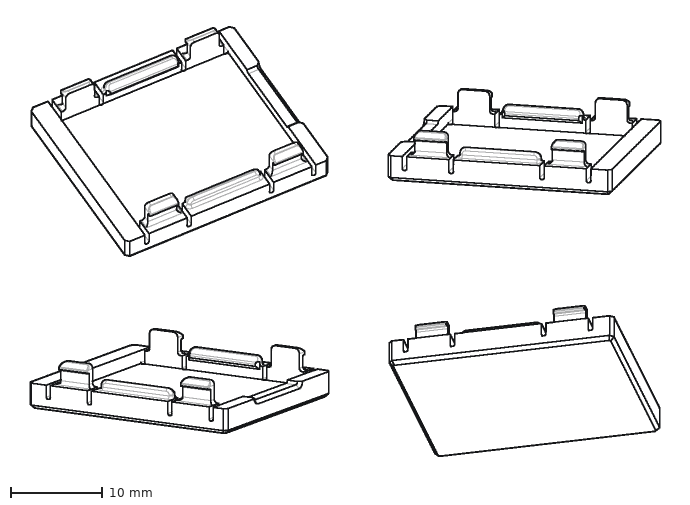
import cadquery as cq

WIDTH = 22.18
LENGTH = 25.32
BASE_HEIGHT = 2.85
TOTAL_HEIGHT = 5.4
EDGE_CHAMFER = 0.4

POCKET_WIDTH = 18.03
POCKET_LENGTH = 21.32
POCKET_CENTER_Y = 0.3
FLOOR_HEIGHT = 1.4
WALL_X = POCKET_WIDTH / 2

DIRECTION_TOLERANCE = 0.001

SLOT_WIDTH = 0.5
SLOT_FLOOR_HEIGHT = 1.3
OUTER_SLOT_OFFSET = (POCKET_LENGTH - SLOT_WIDTH) / 2
INNER_SLOT_OFFSET = 5.15
SLOT_OFFSETS = (-OUTER_SLOT_OFFSET, -INNER_SLOT_OFFSET, INNER_SLOT_OFFSET, OUTER_SLOT_OFFSET)

NOTCH_WIDTH = 9.37
NOTCH_DEPTH = 0.3
NOTCH_CHAMFER = 0.4

HOOK_OFFSET = (OUTER_SLOT_OFFSET + INNER_SLOT_OFFSET) / 2
HOOK_LENGTH = 3.6
STEM_THICKNESS = 0.75
STEM_COVE = 0.4
HOOK_TOP_WIDTH = 0.48
HOOK_TIP_WIDTH = 1.3
HOOK_TIP_HEIGHT = 4.85
HOOK_UNDERSIDE_HEIGHT = 4.53
UNDERSIDE_COVE = 0.18
HOOK_END_RADIUS = 0.5
HOOK_EDGE_RADIUS = 0.13

RAIL_LENGTH = 9.06
RAIL_OUTER_X = 9.8
RAIL_NOSE_X = 8.65
RAIL_NOSE_HEIGHT = 3.25
RAIL_TOP = 3.95
RAIL_END_RADIUS = 0.65
RAIL_EDGE_RADIUS = 0.3
RAIL_COVE = 0.3


def box_between(x_range, y_range, z_range):
    """Axis-aligned box spanning the given ranges."""
    (x0, x1), (y0, y1), (z0, z1) = x_range, y_range, z_range
    return cq.Workplane("XY").box(x1 - x0, y1 - y0, z1 - z0, centered=False).translate((x0, y0, z0))


def make_tray():
    """Open tray with chamfered corners and bottom edge."""
    body = cq.Workplane("XY").box(WIDTH, LENGTH, BASE_HEIGHT, centered=(True, True, False))
    body = body.edges("|Z").chamfer(EDGE_CHAMFER)
    body = body.faces("<Z").edges().chamfer(EDGE_CHAMFER)
    pocket = (
        cq.Workplane("XY", origin=(0, POCKET_CENTER_Y, FLOOR_HEIGHT))
        .rect(POCKET_WIDTH, POCKET_LENGTH)
        .extrude(BASE_HEIGHT)
    )
    return body.cut(pocket)


def make_notch():
    """Cutter for the rear wall notch: rounded lower corners and a flared outer mouth."""
    pocket_end = POCKET_CENTER_Y + POCKET_LENGTH / 2
    half = NOTCH_WIDTH / 2

    def profile(y, growth):
        radius = NOTCH_DEPTH + growth
        flat = half - NOTCH_DEPTH
        return (
            cq.Workplane("XZ", origin=(0, y, BASE_HEIGHT))
            .moveTo(-flat - radius, 0)
            .radiusArc((-flat, -radius), -radius)
            .lineTo(flat, -radius)
            .radiusArc((flat + radius, 0), -radius)
            .close()
        )

    straight = profile(LENGTH / 2, 0).extrude(LENGTH / 2 - pocket_end)
    mouth_start = LENGTH / 2 - NOTCH_CHAMFER
    small = profile(mouth_start, 0).wires().val()
    large = profile(LENGTH / 2, NOTCH_CHAMFER).wires().val()
    mouth = cq.Workplane(obj=cq.Solid.makeLoft([small, large], True))
    return straight.union(mouth)


def make_slot():
    """Cutter for one round-bottomed slot through the +X wall at Y = 0."""
    radius = SLOT_WIDTH / 2
    return (
        cq.Workplane("YZ", origin=(WALL_X, 0, SLOT_FLOOR_HEIGHT))
        .moveTo(-radius, BASE_HEIGHT)
        .lineTo(-radius, radius)
        .threePointArc((0, 0), (radius, radius))
        .lineTo(radius, BASE_HEIGHT)
        .close()
        .extrude(WIDTH)
    )


def make_hook():
    """Snap hook at Y = 0 on the +X wall, flush with the pocket face and leaning outwards."""
    stem_x = WALL_X + STEM_THICKNESS
    tip_x = WALL_X + HOOK_TIP_WIDTH
    hook = (
        cq.Workplane("XZ", origin=(0, HOOK_LENGTH / 2, 0))
        .moveTo(WALL_X, BASE_HEIGHT)
        .lineTo(stem_x, BASE_HEIGHT)
        .lineTo(stem_x, HOOK_UNDERSIDE_HEIGHT)
        .lineTo(tip_x, HOOK_UNDERSIDE_HEIGHT)
        .lineTo(tip_x, HOOK_TIP_HEIGHT)
        .lineTo(WALL_X + HOOK_TOP_WIDTH, TOTAL_HEIGHT)
        .lineTo(WALL_X, TOTAL_HEIGHT)
        .close()
        .extrude(HOOK_LENGTH)
    )
    under_head = cq.selectors.NearestToPointSelector((stem_x, 0, HOOK_UNDERSIDE_HEIGHT))
    hook = hook.edges("|Y").edges(under_head).fillet(UNDERSIDE_COVE)
    rounded_outline = (
        box_between(
            (WALL_X, tip_x), (-HOOK_LENGTH / 2, HOOK_LENGTH / 2), (BASE_HEIGHT, TOTAL_HEIGHT)
        )
        .edges("|X and >Z")
        .fillet(HOOK_END_RADIUS)
    )
    hook = hook.intersect(rounded_outline)
    slope_normal = cq.Vector(TOTAL_HEIGHT - HOOK_TIP_HEIGHT, 0, HOOK_TIP_WIDTH - HOOK_TOP_WIDTH)
    slope_face = hook.faces(cq.selectors.ParallelDirSelector(slope_normal, DIRECTION_TOLERANCE))
    return hook.faces(">X").add(slope_face).edges().fillet(HOOK_EDGE_RADIUS)


def make_foot(thickness, length, corner_radius, cove_radius):
    """Concave foot around the three outer sides of a post at Y = 0 on the +X wall."""
    ground = box_between((0, WIDTH), (-LENGTH / 2, LENGTH / 2), (0, BASE_HEIGHT))
    post = box_between(
        (0, WALL_X + thickness), (-length / 2, length / 2), (BASE_HEIGHT, TOTAL_HEIGHT)
    )
    if corner_radius > 0:
        post = post.edges("|Z and >X").fillet(corner_radius)
    inner_limit = WALL_X / 4
    root_edges = cq.selectors.BoxSelector(
        (inner_limit, -length, BASE_HEIGHT - cove_radius / 2),
        (WIDTH / 2, length, BASE_HEIGHT + cove_radius / 2),
    )
    filleted = ground.union(post).edges(root_edges).fillet(cove_radius)
    reach = length / 2 + cove_radius
    outer_x = WALL_X + thickness + cove_radius
    kept = box_between(
        (WALL_X, outer_x), (-reach, reach), (BASE_HEIGHT, BASE_HEIGHT + cove_radius)
    )
    return filleted.intersect(kept)


def make_rail():
    """Locating rail at Y = 0 on the +X wall, with a sloped nose overhanging the pocket."""
    half = RAIL_LENGTH / 2
    overhang = WALL_X - RAIL_NOSE_X
    bottom = BASE_HEIGHT - overhang
    crest_x = RAIL_NOSE_X + RAIL_TOP - RAIL_NOSE_HEIGHT
    envelope = box_between((RAIL_NOSE_X, RAIL_OUTER_X), (-half, half), (bottom, RAIL_TOP))
    rail = envelope.edges("|X and >Z").fillet(RAIL_END_RADIUS)
    rail = rail.faces(">X").edges("not <Z").fillet(RAIL_EDGE_RADIUS)
    profile = (
        cq.Workplane("XZ", origin=(0, half, 0))
        .moveTo(RAIL_NOSE_X, BASE_HEIGHT)
        .lineTo(WALL_X, bottom)
        .lineTo(RAIL_OUTER_X, bottom)
        .lineTo(RAIL_OUTER_X, RAIL_TOP)
        .lineTo(crest_x, RAIL_TOP)
        .lineTo(RAIL_NOSE_X, RAIL_NOSE_HEIGHT)
        .close()
        .extrude(RAIL_LENGTH)
    )
    rail = rail.intersect(profile)
    slope_face = cq.selectors.ParallelDirSelector(cq.Vector(-1, 0, 1), DIRECTION_TOLERANCE)
    rail = rail.faces(slope_face).edges().fillet(RAIL_EDGE_RADIUS)
    return rail.intersect(envelope.edges("|Z and <X").chamfer(overhang))


def both_walls(feature, offset):
    """Place a +X wall feature at a pocket offset, together with its mirror on the -X wall."""
    placed = feature.translate((0, POCKET_CENTER_Y + offset, 0))
    return placed.union(placed.mirror("YZ"))


result = make_tray().cut(make_notch())
for slot_offset in SLOT_OFFSETS:
    result = result.cut(both_walls(make_slot(), slot_offset))

hook = make_hook().union(make_foot(STEM_THICKNESS, HOOK_LENGTH, 0, STEM_COVE))
for hook_offset in (-HOOK_OFFSET, HOOK_OFFSET):
    result = result.union(both_walls(hook, hook_offset))

rail_foot = make_foot(RAIL_OUTER_X - WALL_X, RAIL_LENGTH, RAIL_EDGE_RADIUS, RAIL_COVE)
result = result.union(both_walls(make_rail().union(rail_foot), 0))